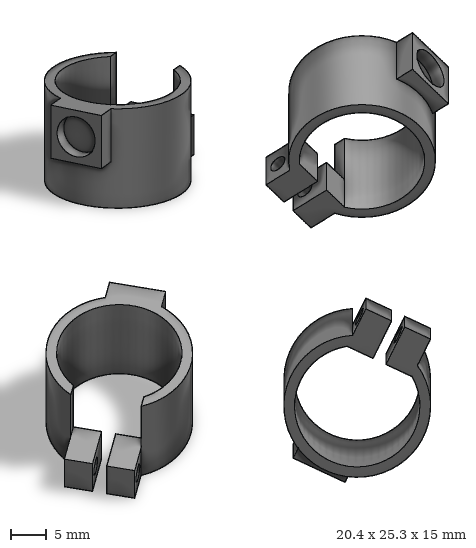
import cadquery as cq
import math

ring_diameter = 20.4
wall = 1.5
height = 15.0
outer_radius = ring_diameter / 2
inner_radius = outer_radius - wall
total_length = 25.32

boss_size = 8.0
boss_projection = 2.0
pocket_diameter = 6.0
pocket_depth = 2.0
boss_face_y = -(outer_radius + boss_projection)

lug_width = 4.0
lug_height = 6.0
lug_gap = 2.0
bolt_diameter = 2.5
bolt_edge_distance = 2.1
opening_width = lug_gap + 2 * lug_width
lug_end_y = boss_face_y + total_length
lug_start_y = math.sqrt(inner_radius**2 - (opening_width / 2) ** 2)


def block(x_size, y_start, y_end, z_start, z_end):
    """Box centred on X, spanning the given Y and Z ranges."""
    return (
        cq.Workplane("XY")
        .box(x_size, y_end - y_start, z_end - z_start, centered=(True, False, False))
        .translate((0, y_start, z_start))
    )


def split_ring():
    """Ring with its boss, bored through and opened on the +Y side."""
    ring = cq.Workplane("XY").circle(outer_radius).extrude(height)
    boss = block(boss_size, boss_face_y, 0, height - boss_size, height)
    bore = cq.Workplane("XY").circle(inner_radius).extrude(height)
    opening = block(opening_width, 0, outer_radius, 0, height)
    return ring.union(boss).cut(bore).cut(opening)


def boss_pocket():
    """Round blind pocket in the outer face of the boss."""
    return (
        cq.Workplane("XZ", origin=(0, boss_face_y, height - boss_size / 2))
        .circle(pocket_diameter / 2)
        .extrude(-pocket_depth)
    )


def clamp_lugs():
    """Pair of lugs separated by the clamping gap, with a bolt hole across both."""
    lugs = block(opening_width, lug_start_y, lug_end_y, 0, lug_height)
    gap = block(lug_gap, lug_start_y, lug_end_y, 0, lug_height)
    bolt_hole = (
        cq.Workplane("YZ", origin=(0, lug_end_y - bolt_edge_distance, lug_height / 2))
        .circle(bolt_diameter / 2)
        .extrude(opening_width / 2, both=True)
    )
    return lugs.cut(gap).cut(bolt_hole)


result = split_ring().cut(boss_pocket()).union(clamp_lugs())